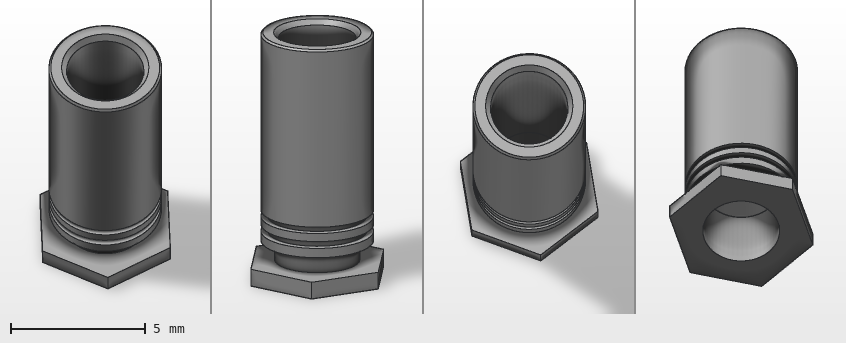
import cadquery as cq

total_height = 9.53
hex_across_flats = 4.75
hex_height = 0.66

body_diameter = 4.19
groove_diameter = 3.68
neck_diameter = 3.17
bore_diameter = 2.87
lower_bore_diameter = 2.85
bore_mouth_diameter = 3.24

neck_height = 0.75
lower_ring_height = 0.36
lower_groove_height = 0.27
upper_ring_height = 0.31
upper_groove_height = 0.25

rim_chamfer = 0.08
mouth_angle = 45
mouth_depth = (bore_mouth_diameter - bore_diameter) / 2
hex_turn = 30

grip_sections = [
    (neck_diameter, neck_height),
    (body_diameter, lower_ring_height),
    (groove_diameter, lower_groove_height),
    (body_diameter, upper_ring_height),
    (groove_diameter, upper_groove_height),
]
sleeve_base = hex_height + sum(height for _, height in grip_sections)


def cylinder(diameter, base, height):
    return cq.Workplane("XY", origin=(0, 0, base)).circle(diameter / 2).extrude(height)


def hex_head():
    head = cq.Workplane("XY").polygon(6, hex_across_flats, circumscribed=True).extrude(hex_height)
    return head.rotate((0, 0, 0), (0, 0, 1), hex_turn)


def turned_shank():
    """Long chamfered sleeve standing on the ringed sections."""
    shank = cylinder(body_diameter, sleeve_base, total_height - sleeve_base)
    shank = shank.faces(">Z").chamfer(rim_chamfer)
    base = hex_height
    for diameter, height in grip_sections:
        shank = shank.union(cylinder(diameter, base, height))
        base += height
    return shank


def through_bore():
    """Bore slightly tighter below the sleeve, with a conical mouth at the top."""
    lower_bore = cylinder(lower_bore_diameter, 0, sleeve_base)
    sleeve_bore = cylinder(bore_diameter, sleeve_base, total_height - sleeve_base)
    mouth = (
        cq.Workplane("XY", origin=(0, 0, total_height))
        .circle(bore_mouth_diameter / 2)
        .extrude(-mouth_depth, taper=mouth_angle)
    )
    return lower_bore.union(sleeve_bore).union(mouth)


result = hex_head().union(turned_shank()).cut(through_bore())